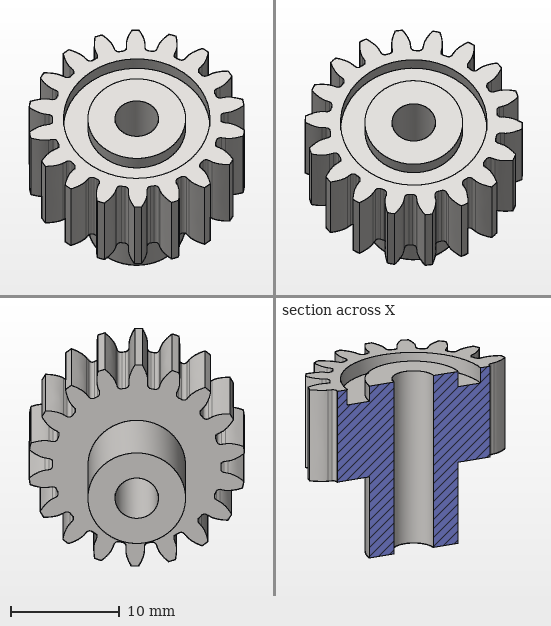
import cadquery as cq
import math

MODULE = 1.0
TOOTH_COUNT = 18
PRESSURE_ANGLE = math.radians(20)
DEDENDUM_FACTOR = 1.25
ROOT_FILLET_FACTOR = 0.38
FACE_WIDTH = 9.0

HUB_DIAMETER = 9.0
HUB_LENGTH = 8.0
BORE_DIAMETER = 4.0

RECESS_DIAMETER = 13.5
RECESS_DEPTH = 1.5

FLANK_STEPS = 8

pitch_radius = MODULE * TOOTH_COUNT / 2
tip_radius = pitch_radius + MODULE
root_radius = pitch_radius - DEDENDUM_FACTOR * MODULE
base_radius = pitch_radius * math.cos(PRESSURE_ANGLE)
root_fillet = ROOT_FILLET_FACTOR * MODULE
tooth_pitch = 2 * math.pi / TOOTH_COUNT
total_height = HUB_LENGTH + FACE_WIDTH


def polar(radius, angle):
    return (radius * math.cos(angle), radius * math.sin(angle))


def rotate(point, angle):
    x, y = point
    return (
        x * math.cos(angle) - y * math.sin(angle),
        x * math.sin(angle) + y * math.cos(angle),
    )


def mirror(point):
    return (point[0], -point[1])


def involute(angle):
    return math.tan(angle) - angle


def upper_flank():
    """Involute points from base circle to tip circle, for a tooth centred on +X."""
    base_half_angle = tooth_pitch / 4 + involute(PRESSURE_ANGLE)
    tip_roll = math.sqrt((tip_radius / base_radius) ** 2 - 1)
    points = []
    for step in range(FLANK_STEPS + 1):
        roll = tip_roll * step / FLANK_STEPS
        radius = base_radius * math.sqrt(1 + roll**2)
        points.append(polar(radius, base_half_angle - involute(math.atan(roll))))
    return points


def root_fillet_points(half_width):
    """Start, middle and end of the arc from the root circle to the line y = half_width."""
    center_y = half_width + root_fillet
    center_distance = root_radius + root_fillet
    center_angle = math.asin(center_y / center_distance)
    center_x = center_distance * math.cos(center_angle)
    root_end = polar(root_radius, center_angle)
    flank_end = (center_x, half_width)
    toward_root = center_angle - math.pi
    toward_flank = -math.pi / 2
    middle_angle = (toward_root + toward_flank) / 2
    dx, dy = polar(root_fillet, middle_angle)
    return root_end, (center_x + dx, center_y + dy), flank_end


def add_tooth(outline, turn):
    """Extend the outline by one tooth at the given angle and the root gap after it."""
    flank = upper_flank()
    root_end, fillet_middle, flank_end = root_fillet_points(flank[0][1])
    lower_flank = [rotate(mirror(point), turn) for point in flank]
    descending_flank = [rotate(point, turn) for point in reversed(flank)]
    next_root_start = rotate(mirror(root_end), turn + tooth_pitch)
    return (
        outline.threePointArc(rotate(mirror(fillet_middle), turn), rotate(mirror(flank_end), turn))
        .lineTo(*lower_flank[0])
        .spline(lower_flank[1:], includeCurrent=True)
        .threePointArc(polar(tip_radius, turn), descending_flank[0])
        .spline(descending_flank[1:], includeCurrent=True)
        .lineTo(*rotate(flank_end, turn))
        .threePointArc(rotate(fillet_middle, turn), rotate(root_end, turn))
        .threePointArc(polar(root_radius, turn + tooth_pitch / 2), next_root_start)
    )


def gear_outline():
    root_end = root_fillet_points(upper_flank()[0][1])[0]
    outline = cq.Workplane("XY").workplane(offset=HUB_LENGTH).moveTo(*mirror(root_end))
    for tooth in range(TOOTH_COUNT):
        outline = add_tooth(outline, tooth * tooth_pitch)
    return outline.close()


gear = gear_outline().extrude(FACE_WIDTH)

recess = (
    cq.Workplane("XY")
    .workplane(offset=total_height - RECESS_DEPTH)
    .circle(RECESS_DIAMETER / 2)
    .extrude(RECESS_DEPTH)
)

hub = cq.Workplane("XY").circle(HUB_DIAMETER / 2).extrude(total_height)

bore = cq.Workplane("XY").circle(BORE_DIAMETER / 2).extrude(total_height)

result = gear.cut(recess).union(hub).cut(bore)